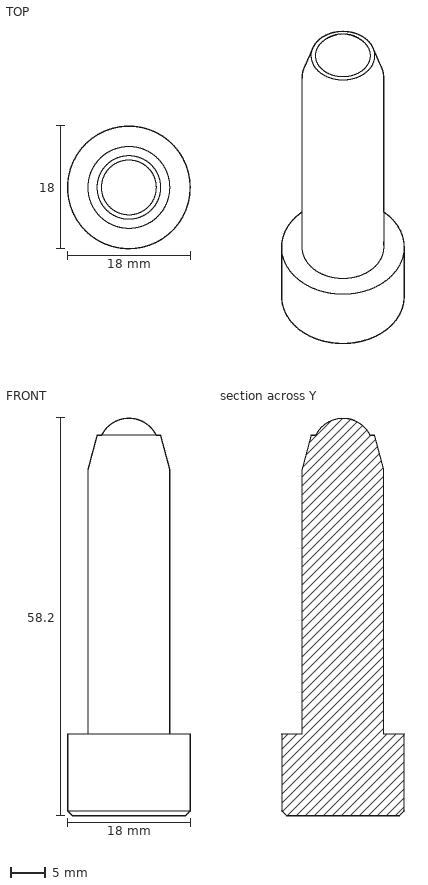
import cadquery as cq
import math

total_height = 58.25
head_diameter = 18.0
head_height = 12.0
head_chamfer = 0.7
shank_diameter = 12.0

taper_height = 5.0
taper_angle = 15.0
cap_height = 2.5
cap_base_radius = 4.0

head_radius = head_diameter / 2
shank_radius = shank_diameter / 2
tip_radius = shank_radius - taper_height * math.tan(math.radians(taper_angle))
tip_z = total_height - cap_height
taper_start_z = tip_z - taper_height

sphere_radius = (cap_base_radius**2 + cap_height**2) / (2 * cap_height)
sphere_center_z = total_height - sphere_radius
half_arc_angle = math.asin(cap_base_radius / sphere_radius) / 2
cap_middle = (
    sphere_radius * math.sin(half_arc_angle),
    sphere_center_z + sphere_radius * math.cos(half_arc_angle),
)

profile = (
    cq.Workplane("XZ")
    .lineTo(head_radius - head_chamfer, 0)
    .lineTo(head_radius, head_chamfer)
    .lineTo(head_radius, head_height)
    .lineTo(shank_radius, head_height)
    .lineTo(shank_radius, taper_start_z)
    .lineTo(tip_radius, tip_z)
    .lineTo(cap_base_radius, tip_z)
    .threePointArc(cap_middle, (0, total_height))
    .close()
)
result = profile.revolve(360, (0, 0, 0), (0, 1, 0))